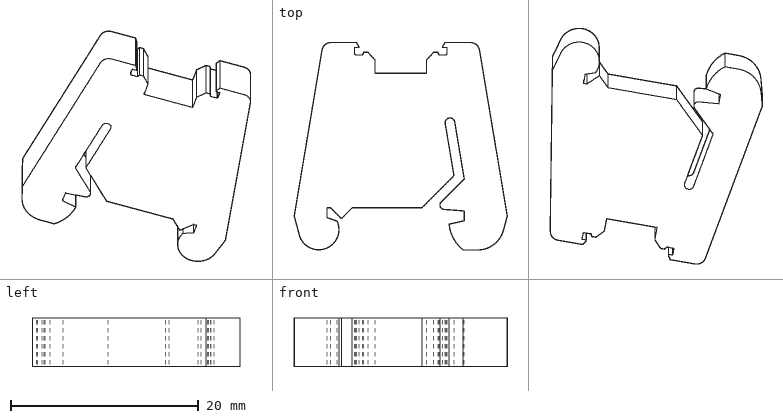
import cadquery as cq
import math

width = 22.7
length = 22.1
thickness = 5.2
half_width = width / 2
top_y = length / 2
bottom_y = -length / 2

shoulder_y = -7.42
side_angle = math.radians(9.5)
hook_angle = math.radians(15)
top_corner_radius = 1.0
top_corner_x = half_width - (top_y - shoulder_y) * math.tan(side_angle)

recess_half_width = 2.72
recess_depth = 3.27
ramp_bottom_depth = 1.88
ridge_inner_x = 3.5
ridge_outer_x = 3.95
ridge_depth = 1.05
notch_inner_x = 4.09
notch_outer_x = 4.9
notch_depth = 1.32
notch_corner = 0.1
lip_tip_x = 4.45
lip_top_x = 4.72
lip_upper_depth = 0.43
lip_lower_depth = 0.57

seat_y = -6.55
seat_left_x = -5.18
seat_right_x = 2.25

left_mouth_x = -7.83
left_mouth_y = -7.58
tooth_left_x = -7.47
tooth_tip_x = (tooth_left_x + seat_left_x) / 2
tooth_tip_y = seat_y - (seat_left_x - tooth_left_x) / 2
left_tip = (-6.76, -7.97)
left_bottom = (-8.67, -11.03)
left_tangent_y = -9.58
left_tangent_x = -half_width + (shoulder_y - left_tangent_y) * math.tan(hook_angle)

slot_width = 1.0
slot_radius = slot_width / 2
slot_bend_x = 5.68
slot_bend_y = seat_y + slot_bend_x - seat_right_x
slot_end_y = 2.43

latch_mouth_x = 6.75
latch_mouth_top_y = -6.9
latch_mouth_bottom_y = -7.92
latch_slope = math.radians(4.5)
latch_radius = 0.48
right_tip = (5.13, -8.29)
right_inner_mid = (5.68, -9.95)
right_flat_left_x = 6.65
right_flat_right_x = 8.17


def recess_outline(side):
    """Edge of one half of the top recess, from the top face to the floor."""
    half_outline = [
        (lip_top_x, 0),
        (lip_tip_x, lip_upper_depth),
        (lip_tip_x, lip_lower_depth),
        (notch_outer_x, lip_lower_depth),
        (notch_outer_x, notch_depth - notch_corner),
        (notch_outer_x - notch_corner, notch_depth),
        (notch_inner_x, notch_depth),
        (ridge_outer_x, ridge_depth),
        (ridge_inner_x, ridge_depth),
        (recess_half_width, ramp_bottom_depth),
        (recess_half_width, recess_depth),
    ]
    return [(side * x, top_y - depth) for x, depth in half_outline]


normal = (math.cos(side_angle), math.sin(side_angle))
inner_end_x = slot_bend_x - (slot_end_y - slot_bend_y) * math.tan(side_angle)
slot_inner_end = (inner_end_x, slot_end_y)
slot_outer_end = (inner_end_x + slot_width * normal[0], slot_end_y + slot_width * normal[1])
slot_crown = (
    inner_end_x + slot_radius * (normal[0] - normal[1]),
    slot_end_y + slot_radius * (normal[1] + normal[0]),
)

bend_normal_angle = (side_angle - math.pi / 4) / 2
bend_reach = slot_width / math.cos((side_angle + math.pi / 4) / 2)
outer_bend_x = slot_bend_x + bend_reach * math.cos(bend_normal_angle)
outer_bend_y = slot_bend_y + bend_reach * math.sin(bend_normal_angle)

latch_slope_ratio = math.tan(latch_slope)
latch_rise = outer_bend_y - latch_mouth_top_y
latch_run = (latch_rise - (latch_mouth_x - outer_bend_x) * latch_slope_ratio) / (1 + latch_slope_ratio)
latch_tip = (outer_bend_x - latch_run, outer_bend_y - latch_run)

right_radius = (
    (half_width - right_flat_right_x) * math.cos(hook_angle)
    - (shoulder_y - bottom_y) * math.sin(hook_angle)
) / (1 - math.sin(hook_angle))


def right_arc_point(angle):
    """Point on the right hook arc, with the angle measured from +X."""
    return (
        right_flat_right_x + right_radius * math.cos(angle),
        bottom_y + right_radius * (1 + math.sin(angle)),
    )


right_arc_end = -hook_angle
right_arc_mid = (right_arc_end - math.pi / 2) / 2

profile = (
    cq.Workplane("XY")
    .workplane(offset=-thickness / 2)
    .moveTo(-half_width, shoulder_y)
    .lineTo(-top_corner_x, top_y)
    .polyline(recess_outline(-1) + recess_outline(1)[::-1], includeCurrent=True)
    .lineTo(top_corner_x, top_y)
    .lineTo(half_width, shoulder_y)
    .lineTo(*right_arc_point(right_arc_end))
    .threePointArc(right_arc_point(right_arc_mid), (right_flat_right_x, bottom_y))
    .lineTo(right_flat_left_x, bottom_y)
    .threePointArc(right_inner_mid, right_tip)
    .lineTo(latch_mouth_x, latch_mouth_bottom_y)
    .lineTo(latch_mouth_x, latch_mouth_top_y)
    .lineTo(*latch_tip)
    .lineTo(outer_bend_x, outer_bend_y)
    .lineTo(*slot_outer_end)
    .threePointArc(slot_crown, slot_inner_end)
    .lineTo(slot_bend_x, slot_bend_y)
    .lineTo(seat_right_x, seat_y)
    .lineTo(seat_left_x, seat_y)
    .lineTo(tooth_tip_x, tooth_tip_y)
    .lineTo(tooth_left_x, seat_y)
    .lineTo(left_mouth_x, seat_y)
    .lineTo(left_mouth_x, left_mouth_y)
    .lineTo(*left_tip)
    .threePointArc(left_bottom, (left_tangent_x, left_tangent_y))
    .close()
)


def round_corner(body, corner, radius):
    """Round the vertical edge standing at a profile corner."""
    nearest = cq.selectors.NearestToPointSelector((corner[0], corner[1], 0))
    return body.edges("|Z").edges(nearest).fillet(radius)


result = profile.extrude(thickness)
for side in (-1, 1):
    result = round_corner(result, (side * top_corner_x, top_y), top_corner_radius)
result = round_corner(result, latch_tip, latch_radius)